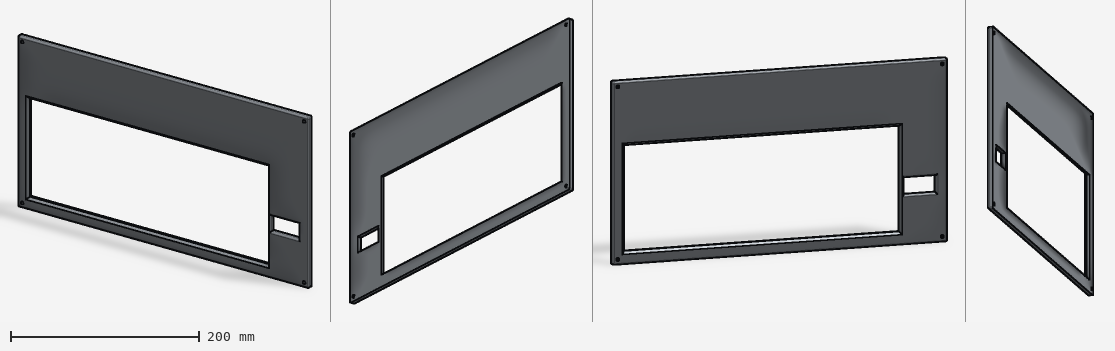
import cadquery as cq

WIDTH = 372.5
HEIGHT = 200.0
THICKNESS = 6.0
EDGE_RADIUS = 2.0

HOLE_DIAMETER = 3.4
HOLE_INSET = 6.0

WINDOW_LEFT = 13.8
WINDOW_BOTTOM = 14.0
WINDOW_WIDTH = 305.5
WINDOW_HEIGHT = 115.0
WINDOW_CHAMFER = 3.0

SLOT_LEFT = 324.0
SLOT_BOTTOM = 54.5
SLOT_WIDTH = 35.5
SLOT_HEIGHT = 18.5


def make_block(left, bottom, width, height):
    """Rectangular block through the full plate thickness, placed by its lower left corner."""
    block = cq.Workplane("XY").box(width, THICKNESS, height, centered=False)
    return block.translate((left, 0, bottom))


def make_plate():
    """Plate with rounded corners and a rounded front rim; the back rim stays sharp."""
    return make_block(0, 0, WIDTH, HEIGHT).edges("|Y or <Y").fillet(EDGE_RADIUS)


def cut_slot(plate):
    """Cut the small window and round its front rim."""
    plate = plate.cut(make_block(SLOT_LEFT, SLOT_BOTTOM, SLOT_WIDTH, SLOT_HEIGHT))
    slot_rim = plate.faces("<Y").wires(
        cq.selectors.BoxSelector(
            (SLOT_LEFT, -EDGE_RADIUS, SLOT_BOTTOM),
            (SLOT_LEFT + SLOT_WIDTH, EDGE_RADIUS, SLOT_BOTTOM + SLOT_HEIGHT),
        )
    )
    return slot_rim.edges().fillet(EDGE_RADIUS)


def make_window():
    """Cutter for the large window, flaring at 45 degrees toward the front face."""
    straight = make_block(WINDOW_LEFT, WINDOW_BOTTOM, WINDOW_WIDTH, WINDOW_HEIGHT)
    flare = (
        cq.Workplane("XZ")
        .center(WINDOW_LEFT + WINDOW_WIDTH / 2, WINDOW_BOTTOM + WINDOW_HEIGHT / 2)
        .rect(WINDOW_WIDTH + 2 * WINDOW_CHAMFER, WINDOW_HEIGHT + 2 * WINDOW_CHAMFER)
        .workplane(offset=-WINDOW_CHAMFER)
        .rect(WINDOW_WIDTH, WINDOW_HEIGHT)
        .loft()
    )
    return straight.union(flare)


def make_screw_holes():
    """Through cutters at the four corners."""
    return (
        cq.Workplane("XZ")
        .center(WIDTH / 2, HEIGHT / 2)
        .rect(WIDTH - 2 * HOLE_INSET, HEIGHT - 2 * HOLE_INSET, forConstruction=True)
        .vertices()
        .circle(HOLE_DIAMETER / 2)
        .extrude(-THICKNESS)
    )


result = cut_slot(make_plate()).cut(make_window()).cut(make_screw_holes())